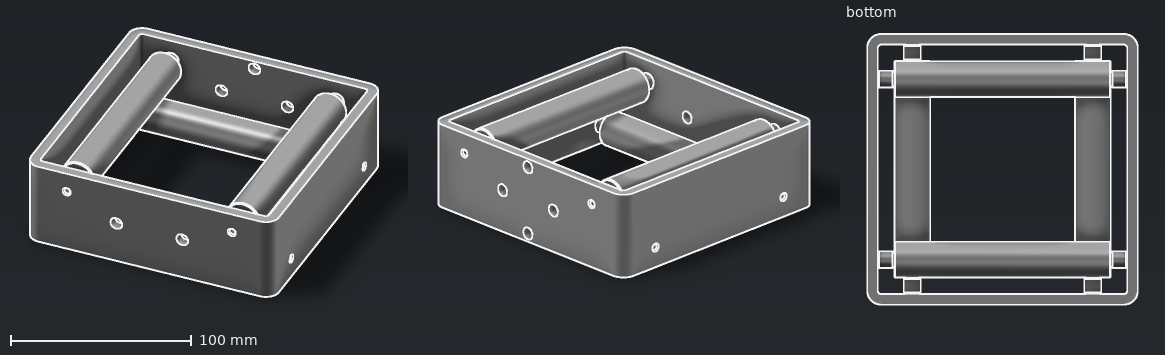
import cadquery as cq
import math

frame_side = 150.0
frame_height = 50.0
wall = 6.0
outer_corner_radius = 8.0
inner_corner_radius = outer_corner_radius - wall

roller_diameter = 20.0
roller_length = 120.0
roller_chamfer = 0.6
roller_offset = 50.0
roller_level = 13.0

pin_diameter = 9.5
pin_chamfer = 0.9

screw_diameter = 3.3
screw_depth = 10.0
screw_countersink_diameter = 5.0
screw_tip_angle = 118.0

mount_diameter = 7.0
mount_offset = 20.0

half_side = frame_side / 2
inner_side = frame_side - 2 * wall


def rounded_block(side, corner_radius):
    block = cq.Workplane("XY").box(side, side, frame_height)
    return block.edges("|Z").fillet(corner_radius)


def roller_with_pins():
    """Roller along Y, centred on the origin, with a pin reaching the wall at each end."""
    roller_start = cq.Workplane("XZ", origin=(0, roller_length / 2, 0))
    roller = roller_start.circle(roller_diameter / 2).extrude(roller_length)
    roller = roller.faces("<Y or >Y").chamfer(roller_chamfer)
    pin_length = (inner_side - roller_length) / 2
    pin_start = cq.Workplane("XZ", origin=(0, inner_side / 2, 0))
    pin = pin_start.circle(pin_diameter / 2).extrude(pin_length)
    pin = pin.faces("<Y or >Y").chamfer(pin_chamfer)
    return roller.union(pin).union(pin.mirror("XZ"))


def screw_hole_pair():
    """Countersunk, cone-bottomed holes on the Y axis, one entering from each outer wall face."""
    surface = cq.Workplane("XZ", origin=(0, half_side, 0))
    hole = surface.circle(screw_diameter / 2).extrude(screw_depth)
    tip_length = screw_diameter / 2 / math.tan(math.radians(screw_tip_angle / 2))
    tip = cq.Solid.makeCone(
        screw_diameter / 2,
        0,
        tip_length,
        pnt=cq.Vector(0, half_side - screw_depth, 0),
        dir=cq.Vector(0, -1, 0),
    )
    countersink = cq.Solid.makeCone(
        screw_countersink_diameter / 2,
        screw_diameter / 2,
        (screw_countersink_diameter - screw_diameter) / 2,
        pnt=cq.Vector(0, half_side, 0),
        dir=cq.Vector(0, -1, 0),
    )
    hole = hole.union(cq.Workplane(tip)).union(cq.Workplane(countersink))
    return hole.union(hole.mirror("XZ"))


def in_four_places(shape):
    """Copy a Y-aligned shape to the upper pair, and turned along X to the lower pair."""
    quarter_turn = 90.0
    turned = shape.rotate((0, 0, 0), (0, 0, 1), quarter_turn)
    copies = []
    for offset in (-roller_offset, roller_offset):
        copies.append(shape.translate((offset, 0, roller_level)))
        copies.append(turned.translate((0, offset, -roller_level)))
    return copies


def mounting_holes():
    """Two holes through both Y walls, plus two more in the +Y wall completing a diamond."""
    radius = mount_diameter / 2
    side_points = [(-mount_offset, 0), (mount_offset, 0)]
    end_points = [(0, -mount_offset), (0, mount_offset)]
    cutters = []
    for y_face, points in ((half_side, side_points + end_points), (wall - half_side, side_points)):
        plane = cq.Workplane("XZ", origin=(0, y_face, 0))
        cutters.append(plane.pushPoints(points).circle(radius).extrude(wall))
    return cutters


result = rounded_block(frame_side, outer_corner_radius).cut(rounded_block(inner_side, inner_corner_radius))
for roller in in_four_places(roller_with_pins()):
    result = result.union(roller)
for cutter in in_four_places(screw_hole_pair()) + mounting_holes():
    result = result.cut(cutter)